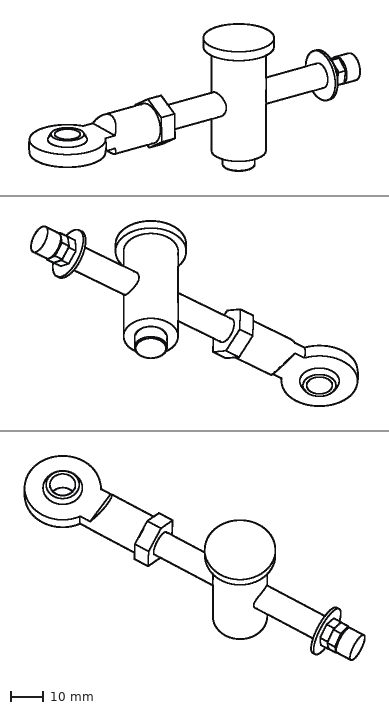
import cadquery as cq
import math

ROD_TURN = 3.4

POST_TOP = 20.4
POST_DIAMETER = 16.9
FLANGE_DIAMETER = 22.0
FLANGE_THICKNESS = 3.0
BARREL_LENGTH = 35.0
SPIGOT_DIAMETER = 10.1
SPIGOT_LENGTH = 4.9
SPIGOT_CHAMFER = 0.4

ROD_DIAMETER = 7.9
SHOULDER_Y = 31.0
NECK_DIAMETER = 5.0
WASHER_DIAMETER = 16.0
WASHER_THICKNESS = 1.0
STOP_NUT_ACROSS_FLATS = 8.0
STOP_NUT_HEIGHT = 2.8
STOP_NUT_TURNS = (-4.5, -10)
HEAD_GAP = 0.5
HEAD_DIAMETER = 8.8
HEAD_LENGTH = 5.0

JAM_NUT_ACROSS_FLATS = 14.0
JAM_NUT_HEIGHT = 5.0
JAM_NUT_TURN = 2.5
SHANK_START_Y = -34.2
SHANK_DIAMETER = 12.7
THREAD_DEPTH = 9.6
TAPER_START_Y = -48.6
TAPER_END_Y = -51.1
EYE_Y = -65.0
EYE_DIAMETER = 24.0
EYE_THICKNESS = 4.3
BALL_DIAMETER = 13.0
BALL_WIDTH = 7.9
BORE_DIAMETER = 7.9

ROD_INNER_END_Y = SHANK_START_Y - THREAD_DEPTH
STOP_NUT_START_Y = SHOULDER_Y + WASHER_THICKNESS
HEAD_START_Y = STOP_NUT_START_Y + len(STOP_NUT_TURNS) * STOP_NUT_HEIGHT + HEAD_GAP


def cylinder_y(diameter, start, end):
    """Cylinder on the Y axis between two Y positions."""
    return cq.Workplane("XZ", origin=(0, start, 0)).circle(diameter / 2).extrude(start - end)


def hex_nut(across_flats, height, bore, start, turn):
    """Hexagonal nut on the Y axis, with one corner up before it is turned about that axis."""
    across_corners = across_flats / math.cos(math.radians(30))
    blank = (
        cq.Workplane("XZ", origin=(0, start, 0))
        .transformed(rotate=(0, 0, 90 + turn))
        .polygon(6, across_corners)
        .extrude(-height)
    )
    return blank.cut(cylinder_y(bore, start, start + height))


def in_rod_direction(body):
    """Turn a body built along +Y into the direction of the rod."""
    return body.rotate((0, 0, 0), (0, 0, 1), ROD_TURN)


def make_rod():
    """Round rod with a thin neck behind its cylindrical head."""
    shaft = cylinder_y(ROD_DIAMETER, ROD_INNER_END_Y, SHOULDER_Y)
    neck = cylinder_y(NECK_DIAMETER, SHOULDER_Y, HEAD_START_Y)
    head = cylinder_y(HEAD_DIAMETER, HEAD_START_Y, HEAD_START_Y + HEAD_LENGTH)
    return in_rod_direction(shaft.union(neck).union(head))


def make_washer():
    """Thin washer against the shoulder of the rod."""
    disc = cylinder_y(WASHER_DIAMETER, SHOULDER_Y, STOP_NUT_START_Y)
    return in_rod_direction(disc.cut(cylinder_y(NECK_DIAMETER, SHOULDER_Y, STOP_NUT_START_Y)))


def make_stop_nut(position, turn):
    """Small nut on the neck; position counts outward from the washer."""
    start = STOP_NUT_START_Y + position * STOP_NUT_HEIGHT
    return in_rod_direction(hex_nut(STOP_NUT_ACROSS_FLATS, STOP_NUT_HEIGHT, NECK_DIAMETER, start, turn))


def make_jam_nut():
    """Nut on the rod, tight against the rod end."""
    return in_rod_direction(
        hex_nut(JAM_NUT_ACROSS_FLATS, JAM_NUT_HEIGHT, ROD_DIAMETER, SHANK_START_Y, JAM_NUT_TURN)
    )


def make_rod_end():
    """Round shank that tapers to a flat eye with a spherical rim and a bored ball."""
    half_shank = SHANK_DIAMETER / 2
    half_eye = EYE_THICKNESS / 2
    side_profile = (
        cq.Workplane("YZ")
        .polyline([
            (SHANK_START_Y, half_shank),
            (TAPER_START_Y, half_shank),
            (TAPER_END_Y, half_eye),
            (EYE_Y, half_eye),
            (EYE_Y, -half_eye),
            (TAPER_END_Y, -half_eye),
            (TAPER_START_Y, -half_shank),
            (SHANK_START_Y, -half_shank),
        ])
        .close()
        .extrude(half_shank, both=True)
    )
    shank = cylinder_y(SHANK_DIAMETER, SHANK_START_Y, EYE_Y).intersect(side_profile)

    eye_center = cq.Workplane("XY", origin=(0, EYE_Y, 0))
    eye = eye_center.sphere(EYE_DIAMETER / 2).intersect(
        eye_center.box(EYE_DIAMETER, EYE_DIAMETER, EYE_THICKNESS)
    )
    ball = eye_center.sphere(BALL_DIAMETER / 2).intersect(
        eye_center.box(BALL_DIAMETER, BALL_DIAMETER, BALL_WIDTH)
    )
    bore = eye_center.circle(BORE_DIAMETER / 2).extrude(BALL_WIDTH / 2, both=True)
    rod_hole = cylinder_y(ROD_DIAMETER, ROD_INNER_END_Y, SHANK_START_Y)
    return in_rod_direction(shank.union(eye).union(ball).cut(bore).cut(rod_hole))


def make_post():
    """Flanged barrel with a chamfered spigot below and a cross hole for the rod."""
    flange = (
        cq.Workplane("XY", origin=(0, 0, POST_TOP)).circle(FLANGE_DIAMETER / 2).extrude(-FLANGE_THICKNESS)
    )
    barrel = flange.faces("<Z").workplane().circle(POST_DIAMETER / 2).extrude(BARREL_LENGTH)
    spigot = (
        cq.Workplane("XY", origin=(0, 0, POST_TOP - FLANGE_THICKNESS - BARREL_LENGTH))
        .circle(SPIGOT_DIAMETER / 2)
        .extrude(-SPIGOT_LENGTH)
        .edges()
        .chamfer(SPIGOT_CHAMFER)
    )
    cross_hole = cylinder_y(ROD_DIAMETER, -POST_DIAMETER, POST_DIAMETER)
    return barrel.union(spigot).cut(in_rod_direction(cross_hole))


post = make_post()
rod = make_rod()
washer = make_washer()
stop_nuts = [make_stop_nut(position, turn) for position, turn in enumerate(STOP_NUT_TURNS)]
jam_nut = make_jam_nut()
rod_end = make_rod_end()

result = cq.Compound.makeCompound([
    post.val(),
    rod.val(),
    washer.val(),
    *[nut.val() for nut in stop_nuts],
    jam_nut.val(),
    rod_end.val(),
])